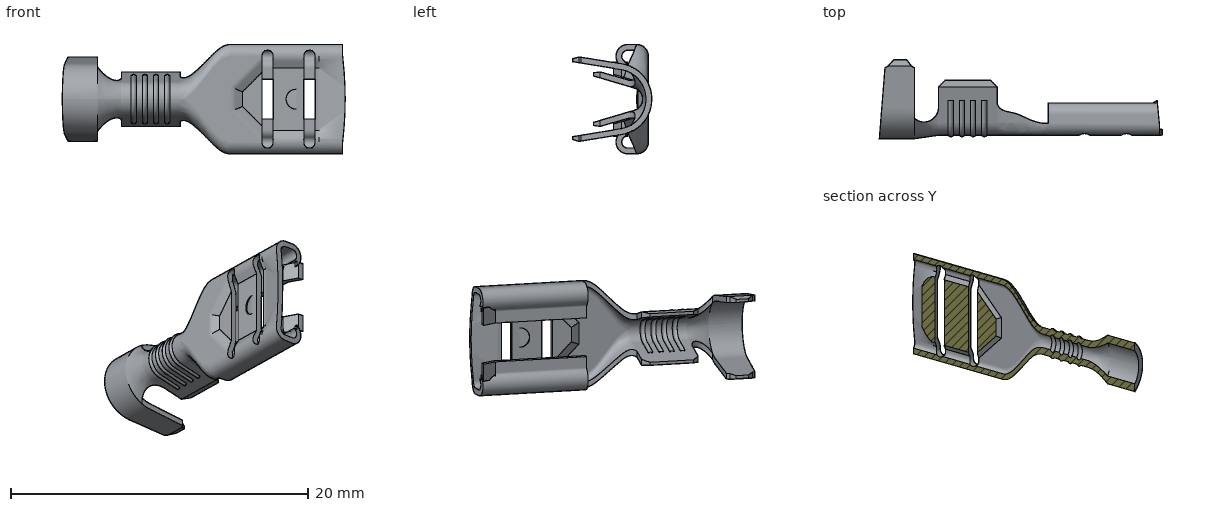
import cadquery as cq
import math

sheet = 0.4
seam = 0.02
margin = 0.38

neck_start, barrel_start, barrel_end = 2.38, 3.98, 7.95
socket_start, lip_start = 11.28, 11.37
socket_end = 19.05

insulation = {"flat": 0.01, "radius": 2.4, "lean": 9.3, "bottom": -0.23}
conductor = {"flat": 0.01, "radius": 1.16, "lean": 16.5, "bottom": 0.0}
insulation_top, conductor_top = 5.1, 3.71

rib_count, rib_width, rib_height = 4, 0.38, 0.1
first_rib, last_rib, rib_top = 4.82, 7.07, 2.36
rib_pitch = (last_rib - first_rib) / (rib_count - 1)

socket_width, corner_radius, socket_height = 7.37, 0.8, 2.2
socket_half = socket_width / 2
socket = {"flat": socket_half - corner_radius, "radius": corner_radius, "lean": 0.0, "bottom": 0.0}
lip_turn, lip_relief_radius, lip_edge = 51.0, 0.21, 1.33
roll_centre = socket_height - corner_radius
relief_reach = corner_radius + lip_relief_radius
relief_centre_y = roll_centre + relief_reach * math.cos(math.radians(lip_turn))
relief_centre_z = socket["flat"] - relief_reach * math.sin(math.radians(lip_turn))
lip_top = relief_centre_y - lip_relief_radius
rim_at_socket = 0.82

panel_height, panel_front, panel_tip_half, panel_half = 0.3, 12.13, 0.5, 2.1
panel_wall_run = 2.0
ramp_start, ramp_end_height, ramp_end_half = 17.28, 0.01, 0.84
panel_foot_radius = 0.67

slot_starts, slot_width, slot_half, slot_depth = (13.45, 16.27), 0.75, 3.3, 0.95
bump_chord, bump_radius, bump_height = 15.74, 0.67, 0.1
flare_start, flare_top, flare_half = 17.75, 2.36, 2.51
wall_end_low, wall_end_high, floor_end_corner = 18.9, 18.73, 18.88


def wall_point(section, height, offset=0.0):
    """Half width of a channel wall at a height, on the surface lying `offset` inside the outer one."""
    turn = math.radians(90 - section["lean"])
    radius = section["radius"] - offset
    rise = height - section["bottom"] - section["radius"] + radius * math.cos(turn)
    return section["flat"] + radius * math.sin(turn) + rise / math.tan(turn)


def channel_wire(x, section, top, offset=0.0):
    """Closed U outline across X, capped flat at `top`."""
    flat = section["flat"]
    radius = section["radius"] - offset
    centre = section["bottom"] + section["radius"]
    turn = math.radians(90 - section["lean"])

    def on_arc(angle, side):
        return (centre - radius * math.cos(angle), side * (flat + radius * math.sin(angle)))

    half_top = wall_point(section, top, offset)
    return (
        cq.Workplane("YZ", origin=(x, 0, 0))
        .moveTo(top, -half_top)
        .lineTo(*on_arc(turn, -1))
        .threePointArc(on_arc(turn / 2, -1), on_arc(0, -1))
        .lineTo(*on_arc(0, 1))
        .threePointArc(on_arc(turn / 2, 1), on_arc(turn, 1))
        .lineTo(top, half_top)
        .close()
        .val()
    )


def channel_loft(stations, top):
    """Solid through (x, section, offset) stations."""
    wires = [channel_wire(x, section, top, offset) for x, section, offset in stations]
    return cq.Workplane(cq.Solid.makeLoft(wires, len(wires) == 2))


def straight_channel(start, end, section, top):
    """Outer and inner solids of a straight barrel; the inner one reaches past its ends and top."""
    outer = channel_loft([(start, section, 0), (end, section, 0)], top)
    inner = channel_loft([(start - margin, section, sheet), (end + margin, section, sheet)], top + margin)
    return outer, inner


def side_prism(outline):
    """Prism across the full width from a closed outline in X and Y."""
    return outline.close().extrude(socket_half + margin, both=True)


def blend(start, end, share):
    """Section part of the way between two others."""
    return {key: start[key] + (end[key] - start[key]) * share for key in start}


def tip_bevel(section, low, top):
    """Wedges taken off the outside of both arm tips, leaving half the sheet."""
    outer_low, outer_top = wall_point(section, low), wall_point(section, top)
    beyond = outer_top + sheet
    corners = [(low, outer_low), (top, outer_top - sheet / 2), (top, beyond), (low, beyond)]
    wedge = cq.Workplane("YZ").polyline(corners).close().extrude(barrel_end)
    return wedge.union(wedge.mirror("XY"))


def make_insulation_barrel():
    outer, inner = straight_channel(0, neck_start, insulation, insulation_top)
    bevel_low = 4.67
    front_slant, corner_run, corner_drop = 0.38, 0.21, 0.11
    front_bevel, rear_bevel = 0.61, 0.53
    outline = [
        (0, insulation["bottom"]),
        (neck_start, insulation["bottom"]),
        (neck_start, bevel_low - corner_drop),
        (neck_start - corner_run, bevel_low),
        (neck_start - rear_bevel, insulation_top),
        (front_slant + front_bevel, insulation_top),
        (front_slant + corner_run, bevel_low),
        (front_slant, bevel_low - corner_drop),
    ]
    barrel = outer.cut(inner).intersect(side_prism(cq.Workplane("XY").polyline(outline)))
    return barrel.cut(tip_bevel(insulation, bevel_low, insulation_top))


def make_conductor_barrel():
    outer, inner = straight_channel(barrel_start, barrel_end, conductor, conductor_top)
    for index in range(rib_count):
        middle = first_rib + index * rib_pitch
        profile = [(middle - rib_width / 2, -seam), (middle, rib_height), (middle + rib_width / 2, -seam)]
        outer = outer.union(channel_loft([(x, conductor, -rise) for x, rise in profile], rib_top))
        inner = inner.union(channel_loft([(x, conductor, sheet - rise) for x, rise in profile], rib_top))
    bevel_low, bevel_run = 3.25, 0.45
    outline = [
        (barrel_start, -margin),
        (barrel_end, -margin),
        (barrel_end, bevel_low),
        (barrel_end - bevel_run, conductor_top),
        (barrel_start + bevel_run, conductor_top),
        (barrel_start, bevel_low),
    ]
    barrel = outer.cut(inner).intersect(side_prism(cq.Workplane("XY").polyline(outline)))
    return barrel.cut(tip_bevel(conductor, bevel_low, conductor_top))


def make_link(start, end, first, last, easing, rim):
    """Channel that changes from one section to another, trimmed to the area below its rim."""
    steps = 6
    top = socket_height + margin
    shell = []
    for offset in (0, sheet):
        stations = []
        for step in range(steps + 1):
            share = step / steps
            section = blend(first, last, easing(share))
            section["bottom"] = first["bottom"] + (last["bottom"] - first["bottom"]) * share
            stations.append((start + (end - start) * share, section, offset))
        shell.append(channel_loft(stations, top))
    return shell[0].cut(shell[1]).intersect(side_prism(rim))


def make_neck():
    rim_front, rim_dip, rim_rear = 1.15, (2.9, 0.91), 1.81
    rim = (
        cq.Workplane("XY")
        .moveTo(neck_start, -margin)
        .lineTo(neck_start, rim_front)
        .threePointArc(rim_dip, (barrel_start, rim_rear))
        .lineTo(barrel_start, -margin)
    )
    return make_link(neck_start, barrel_start, insulation, conductor, lambda t: 1 - (1 - t) ** 2, rim)


def make_transition():
    rim_front = 2.13
    slope = [(8.21, 1.77), (9.16, 1.49), (9.75, 1.24), (10.5, 0.93), (socket_start, rim_at_socket)]
    rim = (
        cq.Workplane("XY")
        .moveTo(barrel_end, -margin)
        .lineTo(barrel_end, rim_front)
        .spline(slope, includeCurrent=True)
        .lineTo(socket_start, -margin)
    )
    return make_link(barrel_end, socket_start, conductor, socket, lambda t: t * t * (3 - 2 * t), rim)


def make_socket_half():
    """Half of the socket: floor, rounded side wall and the lip rolled back over the floor."""
    centre_z = socket["flat"]
    inner = corner_radius - sheet
    turn = math.radians(lip_turn)

    def roll(radius, angle):
        return (roll_centre + radius * math.cos(angle), centre_z - radius * math.sin(angle))

    def unroll(radius, angle):
        return (relief_centre_y - radius * math.cos(angle), relief_centre_z + radius * math.sin(angle))

    def corner(radius):
        angle = math.radians(45)
        return (corner_radius - radius * math.cos(angle), centre_z + radius * math.sin(angle))

    quarter = math.radians(90)
    middle = (turn - quarter) / 2
    lip_outer, lip_inner = lip_relief_radius, lip_relief_radius + sheet
    return (
        cq.Workplane("YZ", origin=(socket_start, 0, 0))
        .moveTo(0, 0)
        .lineTo(0, centre_z)
        .threePointArc(corner(corner_radius), (corner_radius, socket_half))
        .lineTo(*roll(corner_radius, -quarter))
        .threePointArc(roll(corner_radius, middle), roll(corner_radius, turn))
        .threePointArc(unroll(lip_outer, turn / 2), unroll(lip_outer, 0))
        .lineTo(lip_top, lip_edge)
        .lineTo(lip_top - sheet, lip_edge)
        .lineTo(*unroll(lip_inner, 0))
        .threePointArc(unroll(lip_inner, turn / 2), roll(inner, turn))
        .threePointArc(roll(inner, middle), roll(inner, -quarter))
        .lineTo(corner_radius, socket_half - sheet)
        .threePointArc(corner(inner), (sheet, centre_z))
        .lineTo(sheet, 0)
        .close()
        .extrude(socket_end - socket_start)
    )


def mouth_outline():
    """Block whose end follows the bowed floor edge at the mouth."""
    return (
        cq.Workplane("XZ")
        .moveTo(socket_start, -socket_half)
        .lineTo(floor_end_corner, -socket_half)
        .lineTo(floor_end_corner, -socket["flat"])
        .threePointArc((socket_end, 0), (floor_end_corner, socket["flat"]))
        .lineTo(floor_end_corner, socket_half)
        .lineTo(socket_start, socket_half)
        .close()
        .extrude(-flare_top)
    )


def make_panel():
    """Hollow under the raised panel: sloping walls and a front pointed by two 45 degree flanks."""
    foot = panel_height * panel_wall_run
    half = panel_half + foot
    tip = panel_tip_half + foot * math.tan(math.radians(45 / 2))
    front = panel_front - foot
    plan = [
        (front, tip),
        (front + half - tip, half),
        (socket_end, half),
        (socket_end, -half),
        (front + half - tip, -half),
        (front, -tip),
    ]
    return (
        cq.Workplane("XZ")
        .polyline(plan)
        .close()
        .extrude(panel_height, taper=math.degrees(math.atan(panel_wall_run)))
        .mirror("XZ")
    )


def make_ramp():
    """Tapering hollow that brings the panel back down to the floor at the mouth."""
    foot_half = panel_half + panel_height * panel_wall_run

    def section(x, height, top_half):
        corners = [(0, -foot_half), (height, -top_half), (height, top_half), (0, foot_half)]
        return cq.Workplane("YZ", origin=(x, 0, 0)).polyline(corners).close().val()

    at_panel = section(ramp_start, panel_height, panel_half)
    at_mouth = section(socket_end, ramp_end_height, ramp_end_half)
    return cq.Workplane(cq.Solid.makeLoft([at_panel, at_mouth], True))


def raise_floor(body):
    """Presses the panel and its ramp through the sheet, rounding the panel walls into the floor."""
    size = 2 * socket_half
    mouth_side = cq.Workplane("XY").box(size, size * 2, size * 2, centered=(False, True, True))
    mouth_side = mouth_side.translate((ramp_start, 0, 0))

    panel, ramp = make_panel().cut(mouth_side), make_ramp()
    front = body.cut(mouth_side).union(panel.translate((0, sheet, 0))).cut(panel)
    foot_zone = cq.selectors.BoxSelector(
        (socket_start + seam, -seam, -socket["flat"] + seam),
        (ramp_start - seam, seam, socket["flat"] - seam),
    )
    front = front.edges(foot_zone).fillet(panel_foot_radius)
    mouth = body.intersect(mouth_side)
    raised = ramp.translate((0, sheet, 0)).intersect(mouth_outline())
    return front.union(mouth.union(raised).cut(ramp))


def make_bump():
    """Half disc that is highest along its round edge and slopes to nothing at its chord."""
    disc = (
        cq.Workplane("XZ")
        .center(bump_chord, 0)
        .circle(bump_radius)
        .extrude(-socket_height)
    )
    slope = [
        (bump_chord, panel_height),
        (bump_chord - bump_radius, panel_height + bump_height),
        (bump_chord - bump_radius, panel_height - seam),
        (bump_chord, panel_height - seam),
    ]
    return disc.intersect(side_prism(cq.Workplane("XY").polyline(slope)))


def make_flare():
    """Lip ends lifted away from the floor at the mouth, with the space cleared below them."""
    outline = [
        (flare_start, lip_top),
        (wall_end_high, flare_top),
        (wall_end_high, flare_top - sheet),
        (flare_start, lip_top - sheet),
    ]
    below = [
        (flare_start, lip_top - sheet - seam),
        (flare_start, lip_top + seam),
        (socket_end, lip_top + seam),
        (socket_end, lip_top - sheet - seam),
    ]
    width = flare_half - lip_edge
    plane = cq.Workplane("XY", origin=(0, 0, lip_edge))
    plate = plane.polyline(outline).close().extrude(width)
    cleared = plane.polyline(below).close().extrude(width)
    return plate, cleared


def make_socket():
    half = make_socket_half()
    plate, cleared = make_flare()
    half = half.cut(cleared).union(plate)
    body = half.union(half.mirror("XY"))

    side = [
        (socket_start, -margin),
        (socket_start, rim_at_socket),
        (lip_start, rim_at_socket),
        (lip_start, flare_top),
        (wall_end_high, flare_top),
        (wall_end_high, socket_height),
        (wall_end_low, sheet),
        (socket_end, sheet),
        (socket_end, -margin),
    ]
    walls = side_prism(cq.Workplane("XY").polyline(side))
    body = body.intersect(walls).intersect(mouth_outline())

    body = raise_floor(body)
    bump = make_bump()
    body = body.union(bump.translate((0, sheet, 0))).cut(bump)
    for start in slot_starts:
        slot = (
            cq.Workplane("XZ")
            .center(start + slot_width / 2, 0)
            .slot2D(2 * slot_half, slot_width, 90)
            .extrude(-slot_depth)
        )
        body = body.cut(slot)
    return body


result = (
    make_insulation_barrel()
    .union(make_neck())
    .union(make_conductor_barrel())
    .union(make_transition())
    .union(make_socket())
)